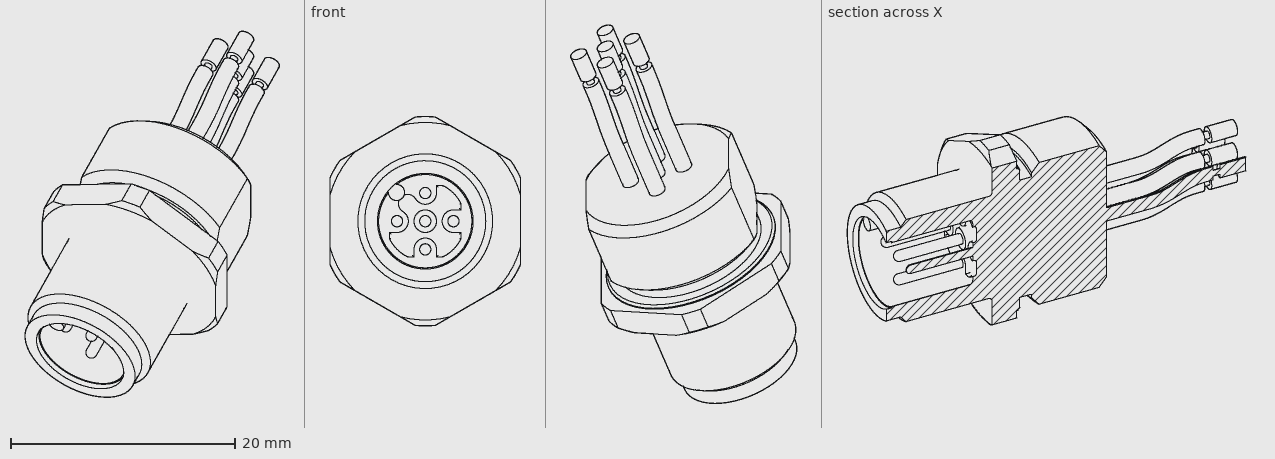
import cadquery as cq
import math


NOSE_END = 1.45
NOSE_CONE_END = 1.97
HEX_FRONT = 10.55
HEX_BACK = 13.0
COLLAR_BACK = 13.35
BODY_FRONT = 14.5
BODY_BACK = 21.98

NOSE_DIAMETER = 10.8
BARREL_DIAMETER = 12.0
BARREL_ROOT_FILLET = 0.32
COLLAR_DIAMETER = 16.0
COLLAR_CHAMFER = 0.2
NECK_DIAMETER = 13.5
BODY_DIAMETER = 16.0
BODY_CHAMFER_RADIAL = 0.85
BODY_CHAMFER_AXIAL = 0.75
BODY_WIDTH = NECK_DIAMETER

HEX_ACROSS_FLATS = 17.0
HEX_CORNER_DIAMETER = 18.68
HEX_CHAMFER_RADIAL = 0.55
HEX_CHAMFER_AXIAL = 0.43

MOUTH_DIAMETER = 8.55
MOUTH_DEPTH = 0.55
BORE_DIAMETER = 8.3
CAVITY_FLOOR = 8.6
CAVITY_FLOOR_FILLET = 0.32
KEY_DIAMETER = 1.45
KEY_RADIUS_FROM_AXIS = 3.62
KEY_ANGLE = 135

PIN_PITCH = 2.5
PIN_DIAMETER = 1.0
PIN_TIP = 1.97

POCKET_DEPTH = 0.35
POCKET_DIAMETER = 7.1
POCKET_HALF_WIDTH = 3.2
POCKET_FLOOR_FILLET = 0.18
ISLAND_DIAMETER = 2.0
KEY_END_DIAMETER = 1.65

WIRE_DIAMETER = 1.5
CORE_DIAMETER = 0.7
WIRE_OFFSET = 1.22
BEND_START = 26.35
BEND_END = 31.8
JACKET_END = 32.6
FERRULE_START = 33.27
WIRE_END = 35.85

PIN_POSITIONS = [(0, 0), (PIN_PITCH, 0), (-PIN_PITCH, 0), (0, PIN_PITCH), (0, -PIN_PITCH)]


def rod(diameter, start, end, x=0, z=0):
    """Cylinder along Y from start to end, centred on (x, z)."""
    plane = cq.Plane(origin=(x, start, z), xDir=(1, 0, 0), normal=(0, 1, 0))
    return cq.Workplane(plane).circle(diameter / 2).extrude(end - start)


def block(width, height, start, end, x=0, z=0):
    """Box of width along X and height along Z, from start to end along Y."""
    centre = (x, (start + end) / 2, z)
    return cq.Workplane("XY").box(width, end - start, height).translate(centre)


def make_nose():
    barrel_radius = BARREL_DIAMETER / 2
    root_radius = barrel_radius + BARREL_ROOT_FILLET
    root_start = HEX_FRONT - BARREL_ROOT_FILLET
    fillet_reach = BARREL_ROOT_FILLET * math.sqrt(0.5)
    return (
        cq.Workplane("XY")
        .moveTo(0, 0)
        .lineTo(NOSE_DIAMETER / 2, 0)
        .lineTo(NOSE_DIAMETER / 2, NOSE_END)
        .lineTo(barrel_radius, NOSE_CONE_END)
        .lineTo(barrel_radius, root_start)
        .threePointArc((root_radius - fillet_reach, root_start + fillet_reach), (root_radius, HEX_FRONT))
        .lineTo(root_radius, HEX_BACK)
        .lineTo(0, HEX_BACK)
        .close()
        .revolve(360, (0, 0, 0), (0, 1, 0))
    )


def make_hexagon():
    corner_radius = HEX_CORNER_DIAMETER / 2
    envelope = (
        cq.Workplane("XY")
        .moveTo(0, HEX_FRONT)
        .lineTo(corner_radius - HEX_CHAMFER_RADIAL, HEX_FRONT)
        .lineTo(corner_radius, HEX_FRONT + HEX_CHAMFER_AXIAL)
        .lineTo(corner_radius, HEX_BACK)
        .lineTo(0, HEX_BACK)
        .close()
        .revolve(360, (0, 0, 0), (0, 1, 0))
    )
    slab = block(HEX_ACROSS_FLATS, 2 * HEX_CORNER_DIAMETER, HEX_FRONT, HEX_BACK)
    hexagon = envelope
    for angle in (0, 60, 120):
        hexagon = hexagon.intersect(slab.rotate((0, 0, 0), (0, 1, 0), angle))
    return hexagon


def make_rear_body():
    collar = rod(COLLAR_DIAMETER, HEX_BACK, COLLAR_BACK).faces(">Y").chamfer(COLLAR_CHAMFER)
    neck = rod(NECK_DIAMETER, HEX_BACK, BODY_BACK)
    body_radius = BODY_DIAMETER / 2
    end_radius = body_radius - BODY_CHAMFER_RADIAL
    body = (
        cq.Workplane("XY")
        .moveTo(0, BODY_FRONT)
        .lineTo(end_radius, BODY_FRONT)
        .lineTo(body_radius, BODY_FRONT + BODY_CHAMFER_AXIAL)
        .lineTo(body_radius, BODY_BACK - BODY_CHAMFER_AXIAL)
        .lineTo(end_radius, BODY_BACK)
        .lineTo(0, BODY_BACK)
        .close()
        .revolve(360, (0, 0, 0), (0, 1, 0))
    )
    body = body.intersect(block(BODY_WIDTH, 2 * BODY_DIAMETER, BODY_FRONT, BODY_BACK))
    return collar.union(neck).union(body)


def make_cavity():
    mouth = rod(MOUTH_DIAMETER, 0, MOUTH_DEPTH)
    bore = rod(BORE_DIAMETER, 0, CAVITY_FLOOR).faces(">Y").edges().fillet(CAVITY_FLOOR_FILLET)
    return bore.union(mouth)


def make_key():
    angle = math.radians(KEY_ANGLE)
    x = KEY_RADIUS_FROM_AXIS * math.cos(angle)
    z = KEY_RADIUS_FROM_AXIS * math.sin(angle)
    return rod(KEY_DIAMETER, MOUTH_DEPTH, CAVITY_FLOOR + POCKET_DEPTH, x, z)


def make_key_side_fill():
    """Raised floor that closes the pocket quadrant beside the key, ending the pocket in a round lobe."""
    bottom = CAVITY_FLOOR + POCKET_DEPTH
    touch_distance = (KEY_END_DIAMETER + ISLAND_DIAMETER) / 2
    end_offset = (PIN_PITCH + math.sqrt(2 * touch_distance**2 - PIN_PITCH**2)) / 2
    pocket_radius = POCKET_DIAMETER / 2
    fill = block(POCKET_DIAMETER, POCKET_DIAMETER, CAVITY_FLOOR, bottom, -pocket_radius, pocket_radius)
    inner_side = (
        cq.Workplane(cq.Plane(origin=(0, CAVITY_FLOOR, 0), xDir=(-1, 0, 0), normal=(0, 1, 0)))
        .polyline([(0, 0), (PIN_PITCH, 0), (end_offset, end_offset), (0, PIN_PITCH)])
        .close()
        .extrude(POCKET_DEPTH)
    )
    round_end = rod(KEY_END_DIAMETER, CAVITY_FLOOR, bottom, -end_offset, end_offset)
    return fill.cut(inner_side).cut(round_end)


def make_floor_pocket():
    bottom = CAVITY_FLOOR + POCKET_DEPTH
    pocket = rod(POCKET_DIAMETER, CAVITY_FLOOR, bottom)
    pocket = pocket.intersect(block(2 * POCKET_HALF_WIDTH, 2 * POCKET_HALF_WIDTH, CAVITY_FLOOR, bottom))
    for x, z in PIN_POSITIONS:
        pocket = pocket.cut(rod(ISLAND_DIAMETER, CAVITY_FLOOR, bottom, x, z))
        if x:
            strip_centre = x + x / 2
            pocket = pocket.cut(block(PIN_PITCH, ISLAND_DIAMETER, CAVITY_FLOOR, bottom, strip_centre, z))
        if z:
            strip_centre = z + z / 2
            pocket = pocket.cut(block(ISLAND_DIAMETER, PIN_PITCH, CAVITY_FLOOR, bottom, x, strip_centre))
    pocket = pocket.cut(make_key_side_fill())
    return pocket.faces(">Y").edges().fillet(POCKET_FLOOR_FILLET)


def make_pin(x, z):
    tip_radius = PIN_DIAMETER / 2
    tip_centre = PIN_TIP + tip_radius
    shank = rod(PIN_DIAMETER, tip_centre, CAVITY_FLOOR + POCKET_DEPTH, x, z)
    tip = cq.Workplane("XY").sphere(tip_radius).translate((x, tip_centre, z))
    return shank.union(tip)


def make_wire(x, z):
    far_z = z + WIRE_OFFSET
    straight = rod(WIRE_DIAMETER, BODY_BACK, BEND_START, x, z)
    path = (
        cq.Workplane(cq.Plane(origin=(x, 0, 0), xDir=(0, 1, 0), normal=(1, 0, 0)))
        .spline([(BEND_START, z), (BEND_END, far_z)], tangents=[(1, 0), (1, 0)])
    )
    start_plane = cq.Plane(origin=(x, BEND_START, z), xDir=(1, 0, 0), normal=(0, 1, 0))
    bend = cq.Workplane(start_plane).circle(WIRE_DIAMETER / 2).sweep(path)
    jacket_end = rod(WIRE_DIAMETER, BEND_END, JACKET_END, x, far_z)
    core = rod(CORE_DIAMETER, BEND_END, WIRE_END, x, far_z)
    ferrule = rod(WIRE_DIAMETER, FERRULE_START, WIRE_END, x, far_z)
    return straight.union(bend).union(jacket_end).union(core).union(ferrule)


shell = make_nose().union(make_hexagon()).union(make_rear_body())
result = shell.cut(make_cavity()).cut(make_floor_pocket()).union(make_key())
for pin_x, pin_z in PIN_POSITIONS:
    result = result.union(make_pin(pin_x, pin_z)).union(make_wire(pin_x, pin_z))